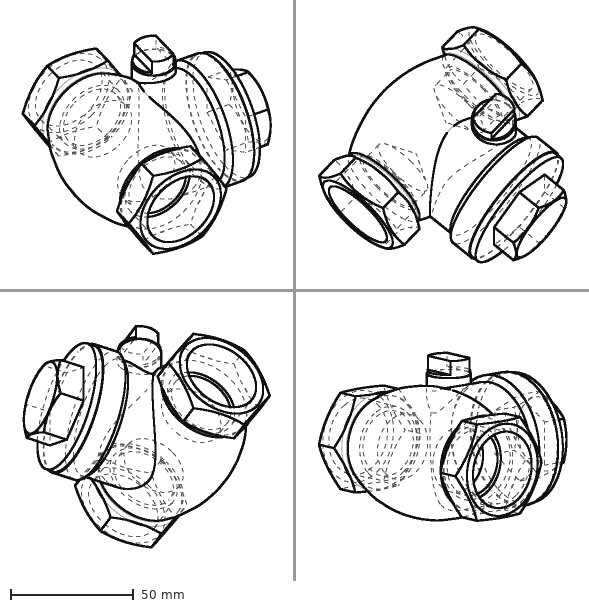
import cadquery as cq
import math


chamfer_angle = math.radians(30)
chamfer_slope = math.tan(chamfer_angle)

half_length = 45.0
body_radius = 27.1
body_half_length = 29.0
neck_radius = 19.35
neck_fillet = 2.0

end_hex_flats = 40.05
end_hex_length = 13.4
end_face_radius = 19.0

socket_mouth_radius = 15.75
socket_end_radius = 15.3
socket_depth = 18.7
seat_radius = 13.5
seat_length = 9.0
seat_tip_angle = 118.0

bonnet_radius = 25.0
bonnet_end = 32.5
flange_radius = 27.5
flange_start = 34.9
flange_end = 45.0
cap_radius = 27.0
cap_end = 48.0
cap_hex_flats = 31.05
cap_hex_end = 59.9
cap_face_radius = 15.3

pin_x = -13.9
pin_y = 21.9
boss_radius = 9.0
boss_top = 27.9
pin_radius = 8.7
pin_shoulder = 29.2
pin_top = 34.9
pin_flat_width = 10.2

end_hex_corner = end_hex_flats / math.sqrt(3)
cap_hex_corner = cap_hex_flats / math.sqrt(3)


def revolve_about_x(profile):
    return profile.close().revolve(360, (0, 0, 0), (1, 0, 0))


def make_body():
    """Barrel with an arc outline, from neck to neck."""
    profile = (
        cq.Workplane("XY")
        .moveTo(-body_half_length, 0)
        .lineTo(-body_half_length, neck_radius)
        .threePointArc((0, body_radius), (body_half_length, neck_radius))
        .lineTo(body_half_length, 0)
    )
    return revolve_about_x(profile)


def make_pipe_end():
    """Left hexagonal end, chamfered on both sides, with the neck blending into it."""
    hex_start = -half_length
    hex_end = hex_start + end_hex_length
    fillet_angle = math.pi / 2 - chamfer_angle
    fillet_length = neck_fillet * math.sin(fillet_angle)
    fillet_outer_radius = neck_radius + neck_fillet * (1 - math.cos(fillet_angle))
    fillet_mid_x = hex_end + fillet_length - neck_fillet * math.sin(fillet_angle / 2)
    fillet_mid_radius = neck_radius + neck_fillet * (1 - math.cos(fillet_angle / 2))
    outer_chamfer = (end_hex_corner - end_face_radius) * chamfer_slope
    inner_chamfer = (end_hex_corner - fillet_outer_radius) * chamfer_slope

    prism = (
        cq.Workplane("YZ", origin=(hex_start, 0, 0))
        .polygon(6, 2 * end_hex_corner)
        .extrude(end_hex_length)
    )
    envelope = revolve_about_x(
        cq.Workplane("XY")
        .moveTo(hex_start, 0)
        .lineTo(hex_start, end_face_radius)
        .lineTo(hex_start + outer_chamfer, end_hex_corner)
        .lineTo(hex_end - inner_chamfer, end_hex_corner)
        .lineTo(hex_end, fillet_outer_radius)
        .lineTo(hex_end, 0)
    )
    neck = revolve_about_x(
        cq.Workplane("XY")
        .moveTo(hex_end, 0)
        .lineTo(hex_end, fillet_outer_radius)
        .threePointArc(
            (fillet_mid_x, fillet_mid_radius), (hex_end + fillet_length, neck_radius)
        )
        .lineTo(-body_half_length, neck_radius)
        .lineTo(-body_half_length, 0)
    )
    return prism.intersect(envelope).union(neck)


def make_socket():
    """Left tapered socket stepping down to a seat bore with a conical bottom."""
    socket_end = -half_length + socket_depth
    seat_end = socket_end + seat_length
    tip_length = seat_radius / math.tan(math.radians(seat_tip_angle / 2))
    return revolve_about_x(
        cq.Workplane("XY")
        .moveTo(-half_length, 0)
        .lineTo(-half_length, socket_mouth_radius)
        .lineTo(socket_end, socket_end_radius)
        .lineTo(socket_end, seat_radius)
        .lineTo(seat_end, seat_radius)
        .lineTo(seat_end + tip_length, 0)
    )


def make_bonnet():
    """Side neck, flange and cap disc."""
    profile = (
        cq.Workplane("XY")
        .lineTo(bonnet_radius, 0)
        .lineTo(bonnet_radius, bonnet_end)
        .lineTo(flange_radius, flange_start)
        .lineTo(flange_radius, flange_end)
        .lineTo(cap_radius, flange_end)
        .lineTo(cap_radius, cap_end)
        .lineTo(0, cap_end)
        .close()
    )
    return profile.revolve(360, (0, 0, 0), (0, 1, 0))


def make_cap_hex():
    """Wrench hexagon on the cap, corners toward +Z and -Z, chamfered at its outer end."""
    chamfer = (cap_hex_corner - cap_face_radius) * chamfer_slope
    prism = (
        cq.Workplane("XZ", origin=(0, cap_end, 0))
        .transformed(rotate=(0, 0, 90))
        .polygon(6, 2 * cap_hex_corner)
        .extrude(cap_end - cap_hex_end)
    )
    envelope = (
        cq.Workplane("XY")
        .moveTo(0, cap_end)
        .lineTo(cap_hex_corner, cap_end)
        .lineTo(cap_hex_corner, cap_hex_end - chamfer)
        .lineTo(cap_face_radius, cap_hex_end)
        .lineTo(0, cap_hex_end)
        .close()
        .revolve(360, (0, 0, 0), (0, 1, 0))
    )
    return prism.intersect(envelope)


def make_hinge_pin():
    """Boss standing on the bonnet neck, topped by a pin with two flats."""
    base = cq.Workplane("XY", origin=(pin_x, pin_y, 0))
    boss = base.circle(boss_radius).extrude(boss_top)
    pin = base.circle(pin_radius).extrude(pin_shoulder)
    flats = base.rect(2 * pin_radius, pin_flat_width).extrude(pin_top)
    tang = base.circle(pin_radius).extrude(pin_top).intersect(flats)
    return boss.union(pin).union(tang)


result = make_body().union(make_bonnet()).union(make_cap_hex()).union(make_hinge_pin())

left_end = make_pipe_end()
left_socket = make_socket()
result = result.union(left_end).union(left_end.mirror("YZ"))
result = result.cut(left_socket).cut(left_socket.mirror("YZ"))